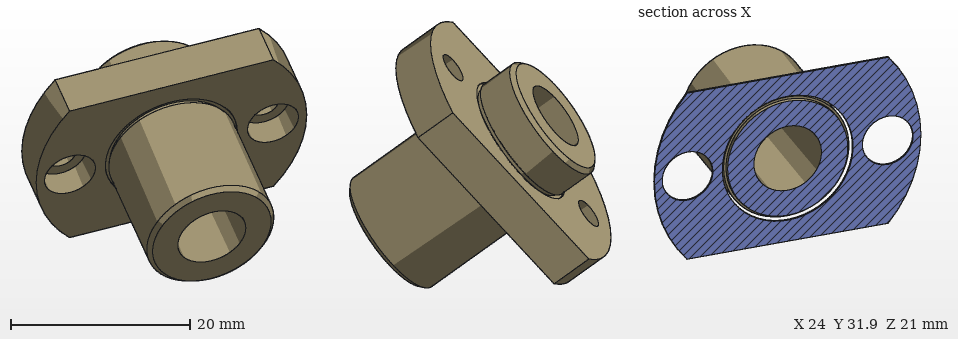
import cadquery as cq

total_length = 24.0
flange_diameter = 31.9
flange_height = 21.0
flange_start = 5.0
flange_thickness = 5.0
body_diameter = 15
bore_diameter = 8.0
chamfer_size = 0.5
relief_size = 0.3
mount_hole_diameter = 3.5
mount_hole_spacing = 23.92
counterbore_diameter = 6.0
counterbore_depth = 3.1

flange_end = flange_start + flange_thickness


def cylinder_x(diameter, start, length, y=0):
    """Cylinder parallel to X, beginning at X = start."""
    return (
        cq.Workplane("YZ", origin=(start, y, 0))
        .circle(diameter / 2)
        .extrude(length)
    )


def ring_x(inner_diameter, outer_diameter, start, length):
    """Ring around the X axis, beginning at X = start."""
    outer = cylinder_x(outer_diameter, start, length)
    return outer.cut(cylinder_x(inner_diameter, start, length))


body = cylinder_x(body_diameter, 0, total_length).faces("<X or >X").chamfer(chamfer_size)

flat_trim = cq.Workplane("XY").box(2 * total_length, flange_diameter, flange_height)
flange = cylinder_x(flange_diameter, flange_start, flange_thickness).intersect(flat_trim)

result = body.union(flange)

neck_diameter = body_diameter - 2 * relief_size
recess_diameter = body_diameter + 2 * relief_size
for flange_face in (flange_start, flange_end):
    undercut_start = flange_face - relief_size
    result = result.cut(ring_x(neck_diameter, recess_diameter, undercut_start, 2 * relief_size))

result = result.cut(cylinder_x(bore_diameter, 0, total_length))

counterbore_start = flange_end - counterbore_depth
for side in (-1, 1):
    hole_y = side * mount_hole_spacing / 2
    result = result.cut(cylinder_x(mount_hole_diameter, flange_start, flange_thickness, hole_y))
    result = result.cut(cylinder_x(counterbore_diameter, counterbore_start, counterbore_depth, hole_y))